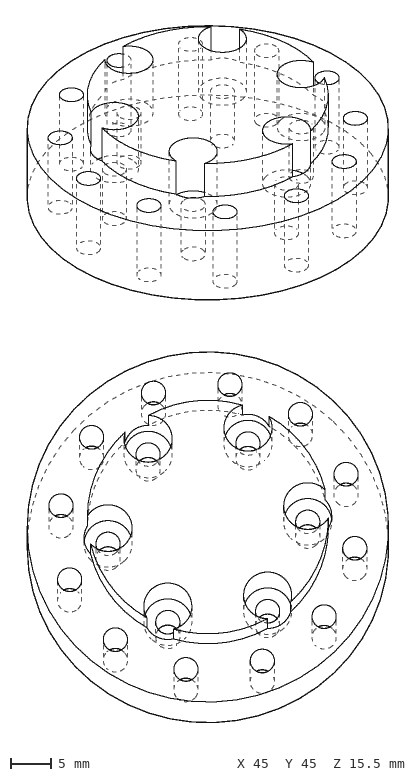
import cadquery as cq

flange_diameter = 45.0
total_height = 15.5
boss_height = 5.0
flange_height = total_height - boss_height

boss_diameter = 30.0

hole_diameter = 3.0

outer_hole_count = 12
outer_ring_radius = 18.5

inner_hole_count = 6
inner_ring_radius = 12.5
inner_start_angle = 45.0
counterbore_diameter = 6.0
counterbore_depth = 8.0


def make_body():
    """Flange disc standing on Z = 0 with the boss on top."""
    return (
        cq.Workplane("XY")
        .circle(flange_diameter / 2)
        .extrude(flange_height)
        .faces(">Z")
        .workplane()
        .circle(boss_diameter / 2)
        .extrude(boss_height)
    )


def ring_of_cylinders(ring_radius, start_angle, count, diameter, bottom, top):
    """Evenly spaced vertical cylinders used as cutters."""
    return (
        cq.Workplane("XY")
        .workplane(offset=bottom)
        .polarArray(ring_radius, start_angle, 360, count)
        .circle(diameter / 2)
        .extrude(top - bottom)
    )


outer_holes = ring_of_cylinders(
    outer_ring_radius, 0, outer_hole_count, hole_diameter, 0, total_height
)
inner_holes = ring_of_cylinders(
    inner_ring_radius, inner_start_angle, inner_hole_count, hole_diameter, 0, total_height
)
counterbores = ring_of_cylinders(
    inner_ring_radius,
    inner_start_angle,
    inner_hole_count,
    counterbore_diameter,
    total_height - counterbore_depth,
    total_height,
)

result = make_body().cut(outer_holes).cut(inner_holes).cut(counterbores)